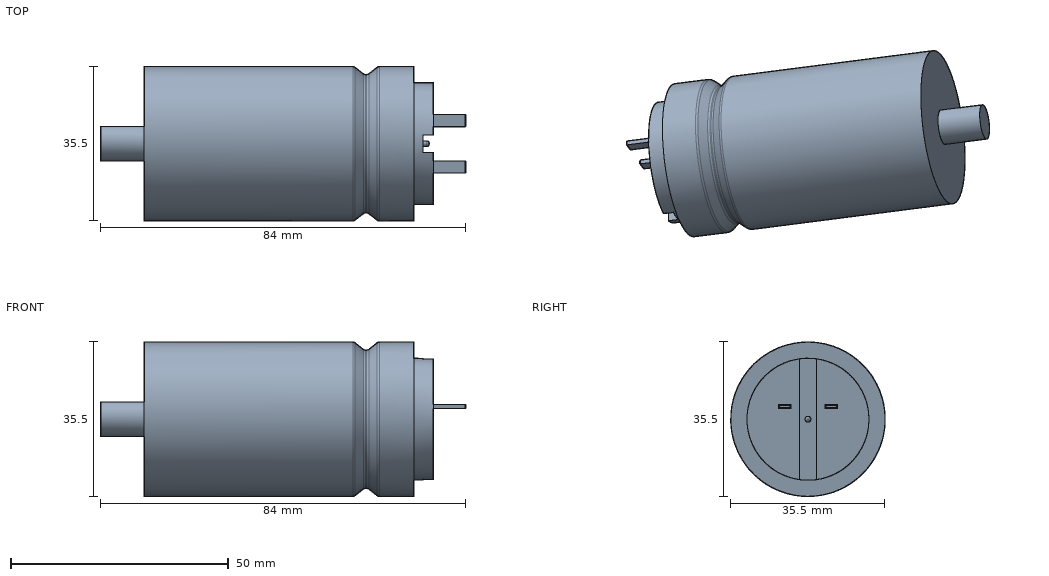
import cadquery as cq

total_length = 84.0
stud_length = 10.0
stud_diameter = 8.0
can_diameter = 35.5
can_radius = can_diameter / 2
can_end = 72.0

bead_center = 61.0
bead_width = 5.55
bead_depth = 1.85
bead_root_width = 0.8
bead_round = 0.8

cover_radius = 14.0
cover_thickness = 4.45
cover_end = can_end + cover_thickness
slot_width = 3.95
slot_depth = 2.35

pip_radius = 0.7
pip_height = 1.4
pip_round = 0.6

terminal_pitch = 10.7
terminal_width = 2.85
terminal_thickness = 1.0
terminal_height = 2.9
tip_bevel = 0.25


def cylinder_along_x(start, end, radius):
    return cq.Workplane("YZ", origin=(start, 0, 0)).circle(radius).extrude(end - start)


def make_can():
    bead_radius = can_radius - bead_depth
    bead_profile = [
        (bead_center - bead_width / 2, can_radius),
        (bead_center - bead_root_width / 2, bead_radius),
        (bead_center + bead_root_width / 2, bead_radius),
        (bead_center + bead_width / 2, can_radius),
    ]
    profile = cq.Workplane("XY").polyline(
        [(stud_length, 0), (stud_length, can_radius), *bead_profile, (can_end, can_radius), (can_end, 0)]
    )
    can = profile.close().revolve(360, (0, 0, 0), (1, 0, 0))
    in_bead = cq.selectors.BoxSelector(
        (bead_center - bead_width, -can_radius, -can_radius),
        (bead_center + bead_width, can_radius, can_radius),
    )
    return can.edges("%CIRCLE").edges(in_bead).fillet(bead_round)


def make_cover():
    floor = cover_end - slot_depth
    cover = cylinder_along_x(can_end, cover_end, cover_radius)
    slot = cq.Workplane("XY").box(slot_depth, slot_width, 2 * cover_radius, centered=(False, True, True))
    pip = cylinder_along_x(floor, floor + pip_height, pip_radius).faces(">X").edges().fillet(pip_round)
    return cover.cut(slot.translate((floor, 0, 0))).union(pip)


def make_terminal(side):
    blade = cq.Workplane("XY").box(
        total_length - cover_end, terminal_width, terminal_thickness, centered=(False, True, True)
    )
    blade = blade.faces(">X").edges().chamfer(tip_bevel)
    return blade.translate((cover_end, side * terminal_pitch / 2, terminal_height))


stud = cylinder_along_x(0, stud_length, stud_diameter / 2)
result = stud.union(make_can()).union(make_cover())
for side in (-1, 1):
    result = result.union(make_terminal(side))